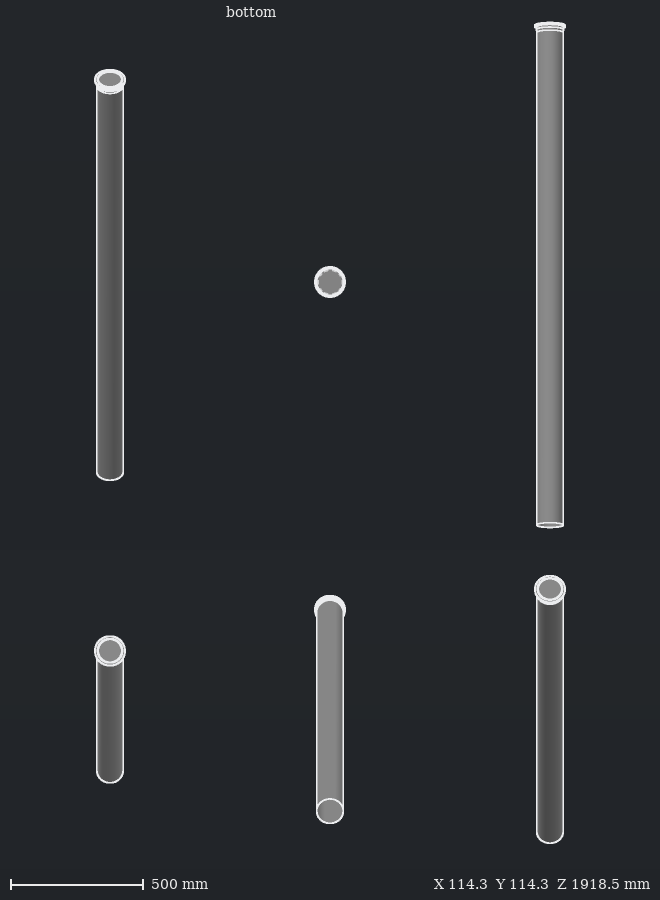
import cadquery as cq

total_length = 1918.53
flange_thickness = 6.5
bead_top_depth = 16.5
bead_bottom_depth = 22.6
collar_bottom_depth = 28.0
recess_step_depth = 0.5
recess_depth = 1.0
bore_top_depth = 5.0

flange_diameter = 114.3
bead_diameter = 104.1
collar_diameter = 101.12
tube_diameter = 100.84
tube_bore_diameter = 100.44
recess_mouth_diameter = 94.92
recess_floor_diameter = 88.84

seam_angle = 45.0


def height_at(depth):
    """Z coordinate of a level given by its depth below the flange top."""
    return total_length - depth


def disc(diameter, bottom, top):
    """Cylinder on the Z axis between two heights."""
    return cq.Workplane("XY").workplane(offset=bottom).circle(diameter / 2).extrude(top - bottom)


def outer_profile():
    """Half section of the tube, collar, bead and flange in the XZ plane, closed along the axis."""
    return (
        cq.Workplane("XZ")
        .moveTo(0, 0)
        .lineTo(tube_diameter / 2, 0)
        .lineTo(tube_diameter / 2, height_at(collar_bottom_depth))
        .lineTo(collar_diameter / 2, height_at(collar_bottom_depth))
        .lineTo(collar_diameter / 2, height_at(bead_bottom_depth))
        .lineTo(bead_diameter / 2, height_at(bead_top_depth))
        .lineTo(collar_diameter / 2, height_at(bead_top_depth))
        .lineTo(collar_diameter / 2, height_at(flange_thickness))
        .lineTo(flange_diameter / 2, height_at(flange_thickness))
        .lineTo(flange_diameter / 2, total_length)
        .lineTo(0, total_length)
        .close()
    )


def top_recess():
    """Shallow two-step recess in the flange top."""
    mouth = disc(recess_mouth_diameter, height_at(recess_step_depth), total_length)
    centre = disc(recess_floor_diameter, height_at(recess_depth), total_length)
    return mouth.union(centre)


def tube_bore():
    """Bore that hollows the tube from its open foot up to the closed head."""
    return disc(tube_bore_diameter, 0, height_at(bore_top_depth))


body = outer_profile().revolve(360, (0, 0, 0), (0, 1, 0))
hollow_body = body.cut(tube_bore()).rotate((0, 0, 0), (0, 0, 1), seam_angle)
result = hollow_body.cut(top_recess())